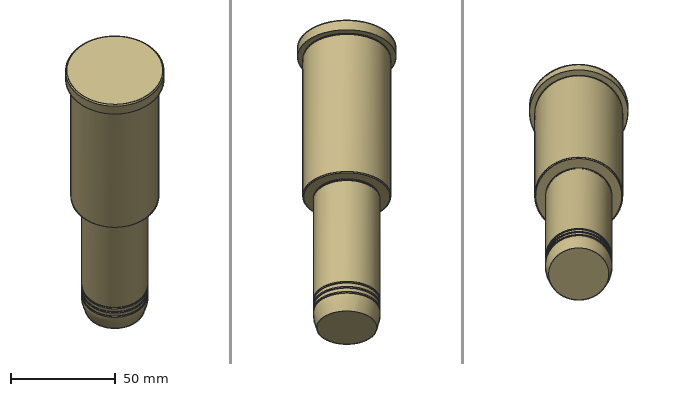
import cadquery as cq

total_length = 161.0
head_diameter = 47.0
head_height = 6.0
body_diameter = 42.0
body_bottom = 75.0
pin_diameter = 31.9

head_chamfer = 0.6
body_chamfer = 0.5
body_neck_height = 0.5
pin_neck_height = 1.0
neck_depth = 0.5

tip_diameter = 28.7
lead_height = 7.2
lead_bulge = 0.3

groove_count = 3
lowest_groove_center = 9.7
groove_pitch = 2.9
groove_width = 1.0
groove_depth = 0.3

head_bottom = total_length - head_height


def cylinder(diameter, bottom, top):
    return cq.Workplane("XY").workplane(offset=bottom).circle(diameter / 2).extrude(top - bottom)


def ring_cut(outer_diameter, depth, bottom, height):
    """Ring that removes the given depth from a cylinder of the given diameter."""
    top = bottom + height
    return cylinder(outer_diameter, bottom, top).cut(cylinder(outer_diameter - 2 * depth, bottom, top))


def v_groove_cut(outer_diameter, depth, bottom, height):
    """Revolved triangle that leaves a shallow V-shaped groove."""
    radius = outer_diameter / 2
    return (
        cq.Workplane("XZ")
        .moveTo(radius, bottom)
        .lineTo(radius - depth, bottom + height / 2)
        .lineTo(radius, bottom + height)
        .close()
        .revolve(360, (0, 0, 0), (0, 1, 0))
    )


def make_head():
    return cylinder(head_diameter, head_bottom, total_length).faces(">Z").chamfer(head_chamfer)


def make_body():
    neck_bottom = head_bottom - body_neck_height
    body = cylinder(body_diameter, body_bottom, neck_bottom)
    body = body.faces("<Z").chamfer(body_chamfer).faces(">Z").chamfer(neck_depth)
    return body.union(cylinder(body_diameter - 2 * neck_depth, neck_bottom, head_bottom))


def make_pin():
    pin_radius = pin_diameter / 2
    tip_radius = tip_diameter / 2
    arc_middle = ((pin_radius + tip_radius) / 2 + lead_bulge, lead_height / 2)
    pin = (
        cq.Workplane("XZ")
        .lineTo(tip_radius, 0)
        .threePointArc(arc_middle, (pin_radius, lead_height))
        .lineTo(pin_radius, body_bottom)
        .lineTo(0, body_bottom)
        .close()
        .revolve(360, (0, 0, 0), (0, 1, 0))
    )
    pin = pin.cut(ring_cut(pin_diameter, neck_depth, body_bottom - pin_neck_height, pin_neck_height))
    for index in range(groove_count):
        groove_bottom = lowest_groove_center + index * groove_pitch - groove_width / 2
        pin = pin.cut(v_groove_cut(pin_diameter, groove_depth, groove_bottom, groove_width))
    return pin


result = make_head().union(make_body()).union(make_pin())